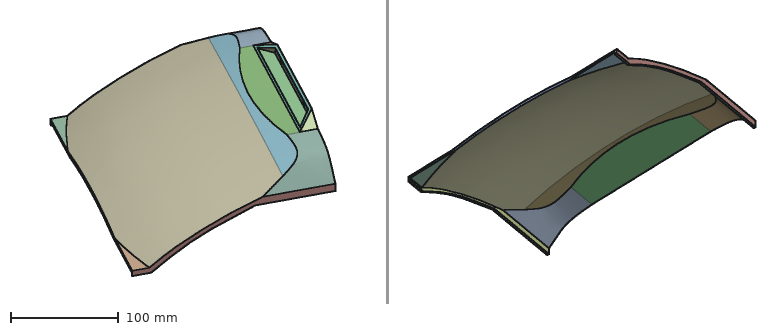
import cadquery as cq
import math

width = 255.0
depth = 197.4
height = 99.0
half_width = width / 2
panel_thickness = 3.0
lip_width = 2.3

roof_z = 88.7
roof_half_width = 72.7
roof_edge_slope = 0.1
haunch_points = [(115.8, 74.7), (107.0, 81.5), (95.5, 86.0), (84.2, 87.7)]
side_top_z = 63.5
shoulder_slope = 0.95

seam_point = (145.4, 86.2)
front_edge_z = 12.5
crown_points = [(93.0, 67.0), (52.5, 47.7), (25.5, 31.5), (0, front_edge_z)]
rear_slope = 0.36
front_slope = 0.8
dome_sagitta = 15.3

corner_top_z = 6.0

lip_rear_point = (119.3, 55.0)
lip_curve_points = [(93.0, 44.4), (66.0, 32.0), (39.0, 15.3)]
lip_front_point = (18.4, 0)

scoop_front_y = 179.8
scoop_top_half_width = 53.5
scoop_back_wall = 2.0
opening_front_margin = 2.3
opening_top_margin = 3.5
opening_front_half_width = 66.8
opening_top_half_width = 51.8
hole_diameter = 3.5
hole_offset_x = 35.0
hole_z = 92.0

clearance = 30.5


def hump_block():
    """Solid below the hump outline, running the full depth and mirrored about X = 0."""
    left_half = (
        cq.Workplane("XZ")
        .moveTo(-half_width, 0)
        .lineTo(-half_width, side_top_z)
        .spline(
            [(-x, z) for x, z in haunch_points] + [(-roof_half_width, roof_z)],
            tangents=[(1, shoulder_slope), (1, roof_edge_slope)],
            includeCurrent=True,
        )
        .lineTo(0, roof_z)
        .lineTo(0, 0)
        .close()
        .extrude(-depth)
    )
    return left_half.union(left_half.mirror("YZ"))


def air_above_dome(drop):
    """Space above the hood surface after lowering that surface along its normal by drop."""
    start_y = depth + clearance
    start_z = seam_point[1] + rear_slope * (start_y - seam_point[0])
    path = (
        cq.Workplane("YZ")
        .moveTo(start_y, start_z)
        .lineTo(*seam_point)
        .spline(
            crown_points + [(-clearance, front_edge_z - front_slope * clearance)],
            tangents=[(-1, -rear_slope), (-1, -front_slope)],
            includeCurrent=True,
        )
    )
    section_plane = cq.Plane(
        origin=(0, start_y, start_z), xDir=(1, 0, 0), normal=(0, -1, -rear_slope)
    )
    half_span = half_width + clearance
    edge_drop = dome_sagitta * (half_span / half_width) ** 2
    return (
        cq.Workplane(section_plane)
        .moveTo(-half_span, -edge_drop - drop)
        .threePointArc((0, -drop), (half_span, -edge_drop - drop))
        .lineTo(half_span, height)
        .lineTo(-half_span, height)
        .close()
        .sweep(path)
    )


def slab(slab_width, top_z):
    """Plate from z = 0 that covers the whole footprint depth."""
    return cq.Workplane("XY").box(slab_width, depth, top_z, centered=(True, False, False))


def space_below_lips():
    """Everything below the lower edge of the side lips."""
    return (
        cq.Workplane("YZ", origin=(-half_width, 0, 0))
        .moveTo(depth, 0)
        .lineTo(depth, lip_rear_point[1])
        .lineTo(*lip_rear_point)
        .spline(lip_curve_points + [lip_front_point], includeCurrent=True)
        .close()
        .extrude(width)
    )


def panel():
    """Thin domed panel with its rear hump, flat front corners and side lips."""
    outer = hump_block().cut(air_above_dome(0)).union(slab(width, corner_top_z))
    inner_width = width - 2 * lip_width
    lowered_hump = hump_block().translate((0, 0, -panel_thickness))
    between_lips = cq.Workplane("XY").box(inner_width, 2 * depth, 2 * height)
    inner = lowered_hump.intersect(between_lips).cut(air_above_dome(panel_thickness))
    inner = inner.union(slab(inner_width, corner_top_z - panel_thickness))
    return outer.cut(inner).cut(space_below_lips())


def scoop():
    """Wedge on the roof, open through its sloping front, with a drilled back wall."""
    length = depth - scoop_front_y
    rise = height - roof_z
    slope_length = math.hypot(length, rise)
    body = (
        cq.Workplane("XZ", origin=(0, scoop_front_y, 0))
        .moveTo(-roof_half_width, roof_z)
        .lineTo(-scoop_top_half_width, height)
        .lineTo(scoop_top_half_width, height)
        .lineTo(roof_half_width, roof_z)
        .close()
        .extrude(-length)
    )
    wedge = (
        cq.Workplane("YZ", origin=(-half_width, 0, 0))
        .moveTo(scoop_front_y, roof_z)
        .lineTo(depth, height)
        .lineTo(depth, roof_z)
        .close()
        .extrude(width)
    )
    slope_plane = cq.Plane(
        origin=(0, scoop_front_y, roof_z), xDir=(1, 0, 0), normal=(0, -rise, length)
    )
    opening_top = slope_length - opening_top_margin
    opening = (
        cq.Workplane(slope_plane)
        .moveTo(-opening_front_half_width, opening_front_margin)
        .lineTo(-opening_top_half_width, opening_top)
        .lineTo(opening_top_half_width, opening_top)
        .lineTo(opening_front_half_width, opening_front_margin)
        .close()
        .extrude(-clearance)
    )
    cavity_limit = cq.Workplane("XY", origin=(0, scoop_front_y, roof_z)).box(
        width, length - scoop_back_wall, rise, centered=(True, False, False)
    )
    cavity = opening.intersect(cavity_limit)
    holes = (
        cq.Workplane("XZ", origin=(0, depth, 0))
        .pushPoints([(-hole_offset_x, hole_z), (hole_offset_x, hole_z)])
        .circle(hole_diameter / 2)
        .extrude(2 * scoop_back_wall)
    )
    return body.intersect(wedge).cut(cavity).cut(holes)


result = panel().union(scoop())